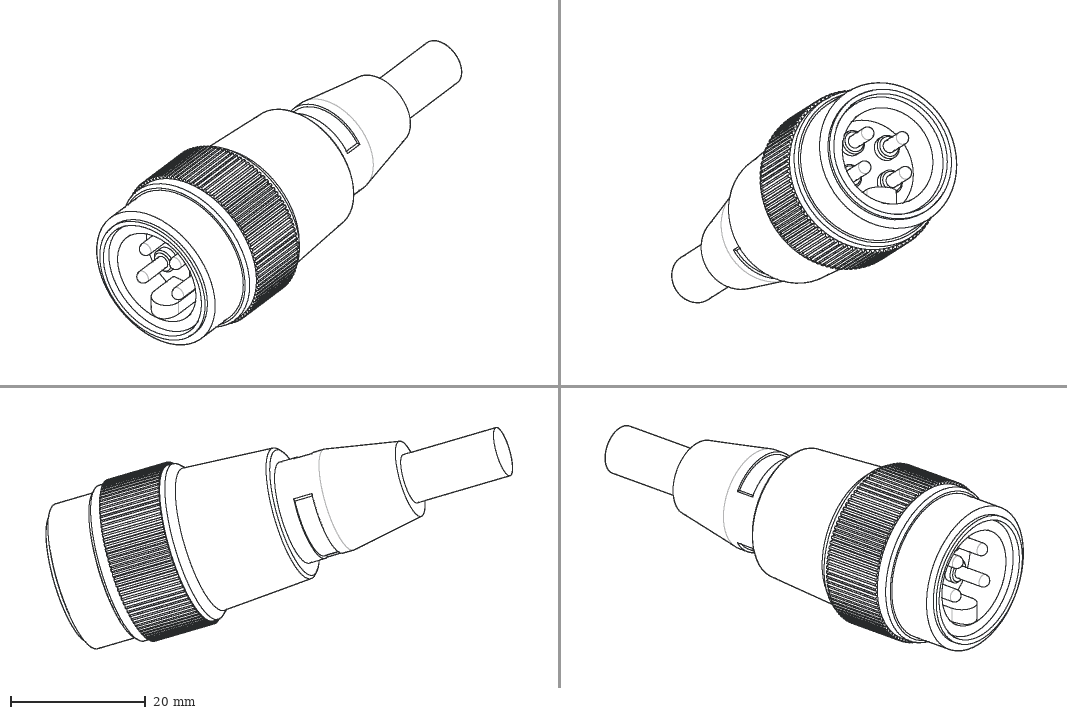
import cadquery as cq
import math

TOTAL_LENGTH = 69.3

LIP_RADIUS = 10.0
LIP_LENGTH = 0.55
BARREL_RADIUS = 11.2
BARREL_CHAMFER_END = 0.8
RING_RADIUS = 12.05
RING_FRONT = 7.55
RING_FRONT_CHAMFER = 0.5
RING_BACK_CHAMFER_START = 19.95
CONE_START = 21.2
CONE_FRONT_RADIUS = 11.0
CONE_BACK_RADIUS = 10.1
CONE_BACK_CHAMFER = 0.4
SHELL_BACK = 35.8

KNURL_DIAMETER = 25.0
KNURL_RADIUS = KNURL_DIAMETER / 2
KNURL_START = 9.6
KNURL_END = 19.1
KNURL_TEETH = 100
KNURL_CREST_SHARE = 0.4

INSERT_RADIUS = 9.1
INSERT_CLEARANCE = 0.2
INSERT_FRONT = 1.05
SOCKET_RADIUS = 7.4
SOCKET_FLOOR = 8.0

COLLAR_RADIUS = 7.8
COLLAR_END = 43.0
BOOT_BACK_RADIUS = 5.8
BOOT_END = 54.4
CABLE_RADIUS = 3.75

SLOT_START = 38.4
SLOT_END = 41.3
SLOT_FLOOR_RADIUS = 7.4
SLOT_EDGE_Z = 4.2

PIN_RADIUS = 1.0
PIN_TIP = 1.05
PIN_COLLAR_RADIUS = 1.8
PIN_COLLAR_FRONT = 6.65
PIN_COLLAR_CHAMFER = 0.3
UPPER_PIN_X = 2.85
UPPER_PIN_Z = 3.4
LOWER_PIN_X = 3.3
LOWER_PIN_Z = -1.95

KEY_WIDTH = 4.6
KEY_FRONT = 1.1
KEY_TOP = -4.85


def revolve_about_y(profile):
    """Solid of revolution from a closed sketch of (radius, y) points."""
    return profile.close().revolve(360, (0, 0, 0), (0, 1, 0))


def cylinder_along_y(radius, start, end):
    """Cylinder centred on the connector axis."""
    return cq.Workplane("XZ", origin=(0, start, 0)).circle(radius).extrude(start - end)


def make_knurl():
    """Ring of flat-topped teeth running along Y, with V-shaped grooves between them."""
    points = []
    pitch = 2 * math.pi / KNURL_TEETH
    half_crest = KNURL_CREST_SHARE * pitch / 2
    for tooth in range(KNURL_TEETH):
        middle = tooth * pitch
        corners = (
            (KNURL_RADIUS, middle - half_crest),
            (KNURL_RADIUS, middle + half_crest),
            (RING_RADIUS, middle + pitch / 2),
        )
        for radius, angle in corners:
            points.append((radius * math.cos(angle), radius * math.sin(angle)))
    outline = cq.Workplane("XZ", origin=(0, KNURL_START, 0)).polyline(points).close()
    return outline.extrude(KNURL_START - KNURL_END)


def make_shell():
    """Coupling sleeve, bored for the insert and the boot collar."""
    outside = revolve_about_y(
        cq.Workplane("XY")
        .moveTo(0, 0)
        .lineTo(LIP_RADIUS, 0)
        .lineTo(LIP_RADIUS, LIP_LENGTH)
        .lineTo(BARREL_RADIUS, BARREL_CHAMFER_END)
        .lineTo(BARREL_RADIUS, RING_FRONT)
        .lineTo(RING_RADIUS - RING_FRONT_CHAMFER, RING_FRONT)
        .lineTo(RING_RADIUS, RING_FRONT + RING_FRONT_CHAMFER)
        .lineTo(RING_RADIUS, RING_BACK_CHAMFER_START)
        .lineTo(CONE_FRONT_RADIUS, CONE_START)
        .lineTo(CONE_BACK_RADIUS, SHELL_BACK - CONE_BACK_CHAMFER)
        .lineTo(CONE_BACK_RADIUS - CONE_BACK_CHAMFER, SHELL_BACK)
        .lineTo(0, SHELL_BACK)
    )
    insert_bore = cylinder_along_y(INSERT_RADIUS + INSERT_CLEARANCE, 0, CONE_START)
    collar_bore = cylinder_along_y(COLLAR_RADIUS, CONE_START, SHELL_BACK)
    return outside.union(make_knurl()).cut(insert_bore).cut(collar_bore)


def make_pin(x, z):
    """Round-nosed contact pin with a chamfered collar at its foot."""
    nose_centre = PIN_TIP + PIN_RADIUS
    nose = cq.Workplane("XY", origin=(0, nose_centre, 0)).sphere(PIN_RADIUS)
    pin = cylinder_along_y(PIN_RADIUS, nose_centre, SOCKET_FLOOR).union(nose)
    collar = cylinder_along_y(PIN_COLLAR_RADIUS, PIN_COLLAR_FRONT, SOCKET_FLOOR)
    collar = collar.faces("<Y").chamfer(PIN_COLLAR_CHAMFER)
    return pin.union(collar).translate((x, 0, z))


def make_key():
    """Round-nosed key standing on the lower wall of the socket."""
    nose_radius = KEY_WIDTH / 2
    nose_centre = KEY_FRONT + nose_radius
    block = (
        cq.Workplane("XY", origin=(0, 0, KEY_TOP))
        .moveTo(-nose_radius, SOCKET_FLOOR)
        .lineTo(-nose_radius, nose_centre)
        .threePointArc((0, KEY_FRONT), (nose_radius, nose_centre))
        .lineTo(nose_radius, SOCKET_FLOOR)
        .close()
        .extrude(-SOCKET_RADIUS)
    )
    return block.intersect(cylinder_along_y(SOCKET_RADIUS, 0, SOCKET_FLOOR))


def make_grip_slots():
    """Ring-shaped cutter interrupted at both sides, leaving one slot above and one below."""
    ring = cylinder_along_y(COLLAR_RADIUS, SLOT_START, SLOT_END)
    ring = ring.cut(cylinder_along_y(SLOT_FLOOR_RADIUS, SLOT_START, SLOT_END))
    slot_middle = (SLOT_START + SLOT_END) / 2
    side_bridge = cq.Workplane("XY", origin=(0, slot_middle, 0)).box(
        2 * COLLAR_RADIUS, SLOT_END - SLOT_START, 2 * SLOT_EDGE_Z
    )
    return ring.cut(side_bridge)


def make_plug():
    """Contact insert, boot and cable, moulded as one body."""
    plug = revolve_about_y(
        cq.Workplane("XY")
        .moveTo(0, SOCKET_FLOOR)
        .lineTo(SOCKET_RADIUS, SOCKET_FLOOR)
        .lineTo(SOCKET_RADIUS, INSERT_FRONT)
        .lineTo(INSERT_RADIUS, INSERT_FRONT)
        .lineTo(INSERT_RADIUS, CONE_START)
        .lineTo(COLLAR_RADIUS, CONE_START)
        .lineTo(COLLAR_RADIUS, COLLAR_END)
        .lineTo(BOOT_BACK_RADIUS, BOOT_END)
        .lineTo(CABLE_RADIUS, BOOT_END)
        .lineTo(CABLE_RADIUS, TOTAL_LENGTH)
        .lineTo(0, TOTAL_LENGTH)
    )
    plug = plug.cut(make_grip_slots())
    for side in (1, -1):
        plug = plug.union(make_pin(side * UPPER_PIN_X, UPPER_PIN_Z))
        plug = plug.union(make_pin(side * LOWER_PIN_X, LOWER_PIN_Z))
    return plug.union(make_key())


shell = make_shell()
plug = make_plug()
result = cq.Compound.makeCompound([shell.val(), plug.val()])